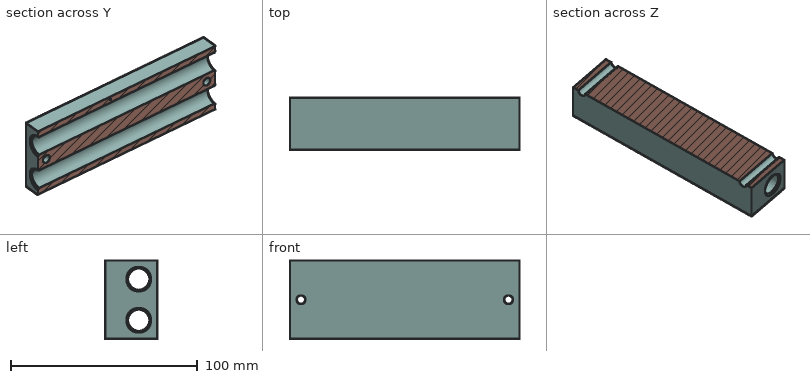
import cadquery as cq

LENGTH = 123.0
DEPTH = 28.0
HEIGHT = 42.0

BORE_DIAMETER = 11.45
BORE_MOUTH_DIAMETER = 13.157
BORE_SPACING = 22.0
BORE_FROM_FRONT = 10.0
BORE_CHAMFER = (BORE_MOUTH_DIAMETER - BORE_DIAMETER) / 2

MOUNT_DIAMETER = 4.5
MOUNT_SPACING = 111.0


def make_block():
    return cq.Workplane("XY").box(LENGTH, DEPTH, HEIGHT)


def bore_cutter(z):
    """Full-length bore along X with a 45 degree countersink at each end."""
    y = BORE_FROM_FRONT - DEPTH / 2
    end = LENGTH / 2
    bore_radius = BORE_DIAMETER / 2
    mouth_radius = BORE_MOUTH_DIAMETER / 2
    profile = (
        cq.Workplane("XY")
        .moveTo(-end, 0)
        .lineTo(-end, mouth_radius)
        .lineTo(-end + BORE_CHAMFER, bore_radius)
        .lineTo(end - BORE_CHAMFER, bore_radius)
        .lineTo(end, mouth_radius)
        .lineTo(end, 0)
        .close()
    )
    return profile.revolve(360, (0, 0, 0), (1, 0, 0)).translate((0, y, z))


def mount_hole_cutter(x):
    """Plain hole along Y through the whole depth."""
    return cq.Workplane("XZ").center(x, 0).circle(MOUNT_DIAMETER / 2).extrude(DEPTH / 2, both=True)


result = make_block()
for side in (-1, 1):
    result = result.cut(bore_cutter(side * BORE_SPACING / 2))
    result = result.cut(mount_hole_cutter(side * MOUNT_SPACING / 2))